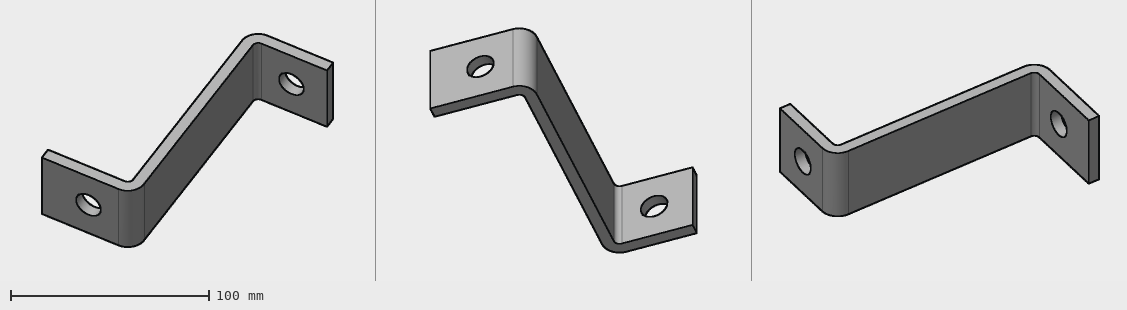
import cadquery as cq

width = 95.3
length = 130.1
height = 41.3

thickness = 6.4
inner_radius = 3.1
outer_radius = inner_radius + thickness

web_left = 47.6
web_right = web_left + thickness

hole_diameter = 14.3
front_hole_from_end = 27.1
back_hole_from_end = 20.7


def bent_strap():
    """Z-shaped profile extruded to the strap height, with concentric bends."""
    profile = [
        (0, 0),
        (web_right, 0),
        (web_right, length - thickness),
        (width, length - thickness),
        (width, length),
        (web_left, length),
        (web_left, thickness),
        (0, thickness),
    ]
    strap = cq.Workplane("XY").polyline(profile).close().extrude(height)
    outer_corners = [(web_right, 0), (web_left, length)]
    inner_corners = [(web_left, thickness), (web_right, length - thickness)]
    for corners, radius in ((outer_corners, outer_radius), (inner_corners, inner_radius)):
        for x, y in corners:
            corner_edge = cq.selectors.NearestToPointSelector((x, y, height / 2))
            strap = strap.edges(corner_edge).fillet(radius)
    return strap


def bolt_holes():
    """One cylinder per flange, along Y at mid height."""
    hole_centers = [
        (front_hole_from_end, height / 2),
        (width - back_hole_from_end, height / 2),
    ]
    return (
        cq.Workplane("XZ")
        .pushPoints(hole_centers)
        .circle(hole_diameter / 2)
        .extrude(-length)
    )


result = bent_strap().cut(bolt_holes())